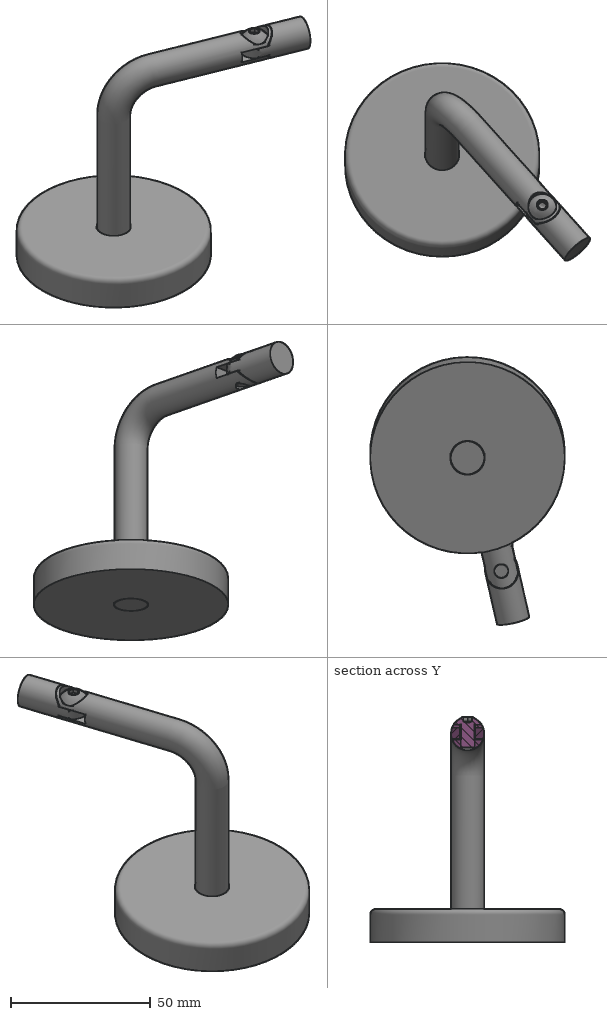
import cadquery as cq
import math

disc_diameter = 70.0
disc_height = 12.0
disc_edge_radius = 2.0
arm_hole_diameter = 12.4

rod_diameter = 12.0
rod_radius = rod_diameter / 2
axis_height = 75.0
bend_radius = 15.0
reach = 75.0

pivot_y = 55.5
jaw_radius = 6.2
jaw_clearance = 0.2
shoulder_radius = jaw_radius + jaw_clearance
slot_height = 4.2
tongue_clearance = 0.2
tongue_height = slot_height - tongue_clearance
slot_end_y = 48.0
tongue_end_y = 50.0

head_diameter = 10.0
head_flat_diameter = 4.02
head_pocket_diameter = 10.1
head_seat_z = axis_height + 3.3
head_top_z = axis_height + rod_radius
head_bulge_radius = 3.5
head_bulge_z = axis_height + 5.05
shank_diameter = 5.0
shank_hole_diameter = 5.5
shank_end_z = axis_height - 5.0
hex_across_flats = 3.0
hex_turn = 30.0
hex_depth = 1.6
hex_cone_depth = 0.8


def vertical_cylinder(diameter, y, z_low, z_high):
    """Cylinder parallel to Z, standing on the X = 0 plane at the given y."""
    return cq.Workplane("XY", origin=(0, y, z_low)).circle(diameter / 2).extrude(z_high - z_low)


def horizontal_rod(y_start, y_end):
    """Length of the rod that runs along +Y at the arm's axis height."""
    section = cq.Workplane("XZ", origin=(0, y_start, axis_height)).circle(rod_radius)
    return section.extrude(y_start - y_end)


def joint_block(y_start, y_end, height):
    """Block centred on the rod axis, wide enough to span the rod and the jaw curve."""
    size_y = y_end - y_start
    return cq.Workplane("XY").box(2 * shoulder_radius, size_y, height).translate(
        (0, y_start + size_y / 2, axis_height)
    )


def rounded_end(center_y, radius, height):
    """Disc about a vertical axis, centred on the rod axis height."""
    half = height / 2
    return vertical_cylinder(2 * radius, center_y, axis_height - half, axis_height + half)


def make_base_disc():
    disc = cq.Workplane("XY").circle(disc_diameter / 2).extrude(disc_height)
    disc = disc.faces(">Z").edges().fillet(disc_edge_radius)
    return disc.cut(vertical_cylinder(arm_hole_diameter, 0, 0, disc_height))


def make_arm():
    bend_low_z = axis_height - bend_radius
    bend_mid = bend_radius * (1 - math.sqrt(0.5))
    path = (
        cq.Workplane("YZ")
        .moveTo(0, 0)
        .lineTo(0, bend_low_z)
        .threePointArc((bend_mid, axis_height - bend_mid), (bend_radius, axis_height))
        .lineTo(pivot_y, axis_height)
    )
    arm = cq.Workplane("XY").circle(rod_radius).sweep(path)

    jaw_end = horizontal_rod(pivot_y, pivot_y + rod_diameter)
    jaw_end = jaw_end.intersect(rounded_end(pivot_y, jaw_radius, rod_diameter))
    arm = arm.union(jaw_end)

    arm = arm.cut(joint_block(slot_end_y, reach, slot_height))

    arm = arm.cut(vertical_cylinder(head_pocket_diameter, pivot_y, head_seat_z, head_top_z))
    arm = arm.cut(vertical_cylinder(shank_hole_diameter, pivot_y, axis_height, head_seat_z))
    return arm.cut(vertical_cylinder(shank_diameter, pivot_y, axis_height - rod_radius, axis_height))


def make_tip():
    tongue_center_y = tongue_end_y + rod_radius
    tip = horizontal_rod(tongue_end_y, reach)
    nose = joint_block(tongue_center_y, reach, rod_diameter)
    nose = nose.union(rounded_end(tongue_center_y, rod_radius, rod_diameter))
    tip = tip.intersect(nose)

    jaw_space = joint_block(slot_end_y, pivot_y, rod_diameter)
    jaw_space = jaw_space.union(rounded_end(pivot_y, shoulder_radius, rod_diameter))
    jaw_space = jaw_space.cut(joint_block(slot_end_y, reach, tongue_height))
    tip = tip.cut(jaw_space)

    hole_low_z = axis_height - rod_radius
    return tip.cut(vertical_cylinder(shank_hole_diameter, pivot_y, hole_low_z, head_top_z))


def make_pivot_screw():
    screw = (
        cq.Workplane("XZ", origin=(0, pivot_y, 0))
        .moveTo(0, shank_end_z)
        .lineTo(shank_diameter / 2, shank_end_z)
        .lineTo(shank_diameter / 2, head_seat_z)
        .lineTo(head_diameter / 2, head_seat_z)
        .threePointArc((head_bulge_radius, head_bulge_z), (head_flat_diameter / 2, head_top_z))
        .lineTo(0, head_top_z)
        .close()
        .revolve(360, (0, 0, 0), (0, 1, 0))
    )

    hex_floor_z = head_top_z - hex_depth
    hex_corner_diameter = hex_across_flats / math.cos(math.radians(30))
    socket = (
        cq.Workplane("XY", origin=(0, pivot_y, hex_floor_z))
        .transformed(rotate=(0, 0, hex_turn))
        .polygon(6, hex_corner_diameter)
        .extrude(hex_depth)
    )
    cone = cq.Solid.makeCone(
        hex_across_flats / 2,
        0,
        hex_cone_depth,
        pnt=cq.Vector(0, pivot_y, hex_floor_z),
        dir=cq.Vector(0, 0, -1),
    )
    return screw.cut(socket).cut(cq.Workplane(cone))


base_disc = make_base_disc()
arm = make_arm()
tip = make_tip()
pivot_screw = make_pivot_screw()

result = cq.Compound.makeCompound([base_disc.val(), arm.val(), tip.val(), pivot_screw.val()])